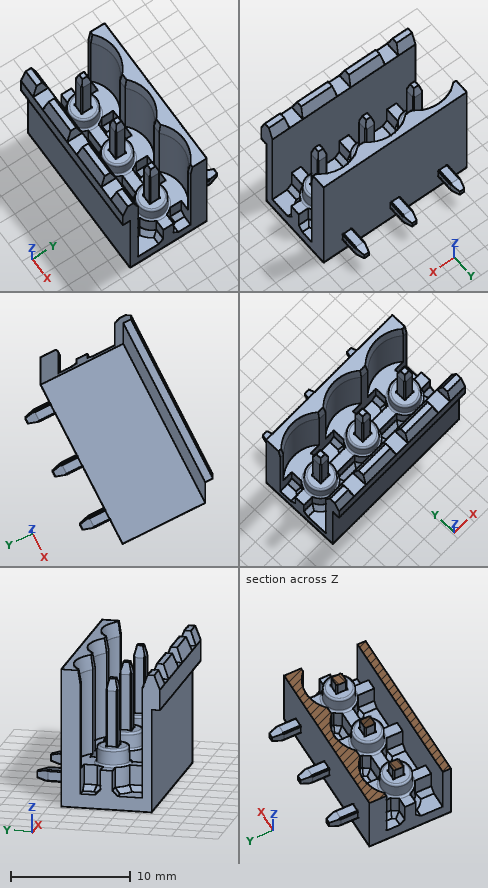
import cadquery as cq


length = 15.24
pole_count = 3
pitch = length / pole_count
pole_positions = [(i - (pole_count - 1) / 2) * pitch for i in range(pole_count)]

height = 12.0
half_depth = 3.89
floor_z = 1.22
rear_inner_y = 2.24
front_inner_y = -3.08

lead_in_z = 10.76
lead_in_depth = 0.2

lip_y = -4.6
lip_bottom_z = 8.98
ridge_base_z = lead_in_z
ridge_inner_y = -3.55
ridge_outer_y = -4.11
notch_base_half_width = 0.7
notch_top_half_width = 0.9

scallop_radius = 3.11

rib_top_z = 3.41
flare = 0.47
long_rib_half_width = 0.52
front_rib_half_width = 0.5
rear_rib_half_width = 1.16
post_radius = 1.6
boss_bottom_radius = 1.4
boss_top_radius = 1.35
boss_top_z = 4.94
boss_round = 0.2

pin_width = 1.0
socket_width = 1.07
pin_chamfer = 0.1
tip_length = 0.99
tip_end_width = 0.5
pin_top_z = 10.77
tail_z = 2.0
tail_end_y = 6.49


def trough():
    """U-shaped cross-section with the latch lip, extruded along X."""
    section = [
        (half_depth, 0),
        (half_depth, height),
        (rear_inner_y + lead_in_depth, height),
        (rear_inner_y, lead_in_z),
        (rear_inner_y, floor_z),
        (front_inner_y, floor_z),
        (front_inner_y, ridge_base_z),
        (ridge_inner_y, height),
        (ridge_outer_y, height),
        (lip_y, ridge_base_z),
        (lip_y, lip_bottom_z),
        (-half_depth, lip_bottom_z),
        (-half_depth, 0),
    ]
    return cq.Workplane("YZ").polyline(section).close().extrude(length / 2, both=True)


def flared_profile(workplane, half_width):
    """Closed upright rib profile that widens at 45 degrees to meet the floor."""
    foot = half_width + flare
    return workplane.polyline([
        (-foot, floor_z),
        (-half_width, floor_z + flare),
        (-half_width, rib_top_z),
        (half_width, rib_top_z),
        (half_width, floor_z + flare),
        (foot, floor_z),
    ]).close()


def long_rib():
    """Rib along X that joins the bosses and runs out at both open ends."""
    return flared_profile(cq.Workplane("YZ"), long_rib_half_width).extrude(length / 2, both=True)


def cross_ribs():
    """Narrow rib from the pin axis to the front wall and wide rib to the rear wall."""
    section_plane = cq.Workplane("XZ")
    front = flared_profile(section_plane, front_rib_half_width).extrude(-front_inner_y)
    rear = flared_profile(section_plane, rear_rib_half_width).extrude(-rear_inner_y)
    return front.union(rear)


def boss():
    """Round post with a flared foot, carrying a slightly tapered collar with rounded edges."""
    round_diagonal = boss_round * 0.5 ** 0.5
    lower_arc_center = (boss_bottom_radius + boss_round, rib_top_z + boss_round)
    upper_arc_center = (boss_top_radius - boss_round, boss_top_z - boss_round)
    return (
        cq.Workplane("XZ")
        .moveTo(0, floor_z)
        .lineTo(post_radius + flare, floor_z)
        .lineTo(post_radius, floor_z + flare)
        .lineTo(post_radius, rib_top_z)
        .threePointArc(
            (lower_arc_center[0] - round_diagonal, lower_arc_center[1] - round_diagonal),
            (boss_bottom_radius, rib_top_z + boss_round),
        )
        .lineTo(boss_top_radius, boss_top_z - boss_round)
        .threePointArc(
            (upper_arc_center[0] + round_diagonal, upper_arc_center[1] + round_diagonal),
            (boss_top_radius - boss_round, boss_top_z),
        )
        .lineTo(0, boss_top_z)
        .close()
        .revolve(360, (0, 0, 0), (0, 1, 0))
    )


def scallop_cutter():
    """Round recess down to the rib tops, widened conically at the lead-in, limited to the rear wall."""
    cutter = (
        cq.Workplane("XZ")
        .polyline([
            (0, rib_top_z),
            (scallop_radius, rib_top_z),
            (scallop_radius, lead_in_z),
            (scallop_radius + lead_in_depth, height),
            (0, height),
        ])
        .close()
        .revolve(360, (0, 0, 0), (0, 1, 0))
    )
    rear_region = cq.Workplane("XY").box(length, half_depth, height, centered=(True, False, False))
    return cutter.intersect(rear_region)


def notch_cutter():
    """Notch through the latch ridge, wider at the top."""
    return (
        cq.Workplane("XZ", origin=(0, front_inner_y, 0))
        .polyline([
            (-notch_base_half_width, ridge_base_z),
            (notch_base_half_width, ridge_base_z),
            (notch_top_half_width, height),
            (-notch_top_half_width, height),
        ])
        .close()
        .extrude(front_inner_y - lip_y)
    )


def square_bar(bar_length):
    """Square bar along +Z that starts half a width below the bend."""
    return (
        cq.Workplane("XY", origin=(0, 0, -pin_width / 2))
        .rect(pin_width, pin_width)
        .extrude(pin_width / 2 + bar_length)
    )


def pin_leg(leg_length):
    """Square bar with chamfered long edges and a pyramid tip that cuts across the chamfers."""
    shaft_length = leg_length - tip_length
    tip = (
        cq.Workplane("XY", origin=(0, 0, shaft_length))
        .rect(pin_width, pin_width)
        .workplane(offset=tip_length)
        .rect(tip_end_width, tip_end_width)
        .loft()
    )
    pointed_bar = square_bar(shaft_length).union(tip)
    return square_bar(leg_length).edges("|Z").chamfer(pin_chamfer).intersect(pointed_bar)


def pin():
    """Right-angle pin: contact leg upward and solder tail to the rear."""
    contact = pin_leg(pin_top_z - tail_z)
    tail = pin_leg(tail_end_y).rotate((0, 0, 0), (1, 0, 0), -90)
    return contact.union(tail).translate((0, 0, tail_z))


def socket_cutter():
    """Square hole from the boss top down to the bend, slightly wider than the pin."""
    return (
        cq.Workplane("XY", origin=(0, 0, tail_z - pin_width / 2))
        .rect(socket_width, socket_width)
        .extrude(boss_top_z - tail_z + pin_width / 2)
    )


def housing(pin_bodies):
    """Trough with its ribs, bosses, scallops and notches, a socket and a tail passage for each pin."""
    body = trough().union(long_rib())
    for x in pole_positions:
        body = body.cut(scallop_cutter().translate((x, 0, 0)))
        body = body.cut(notch_cutter().translate((x, 0, 0)))
        body = body.union(cross_ribs().translate((x, 0, 0)))
        body = body.union(boss().translate((x, 0, 0)))
        body = body.cut(socket_cutter().translate((x, 0, 0)))
    for pin_body in pin_bodies:
        body = body.cut(pin_body)
    return body


pins = [pin().translate((x, 0, 0)) for x in pole_positions]
header_housing = housing(pins)

result = cq.Compound.makeCompound([header_housing.val(), *[pin_body.val() for pin_body in pins]])